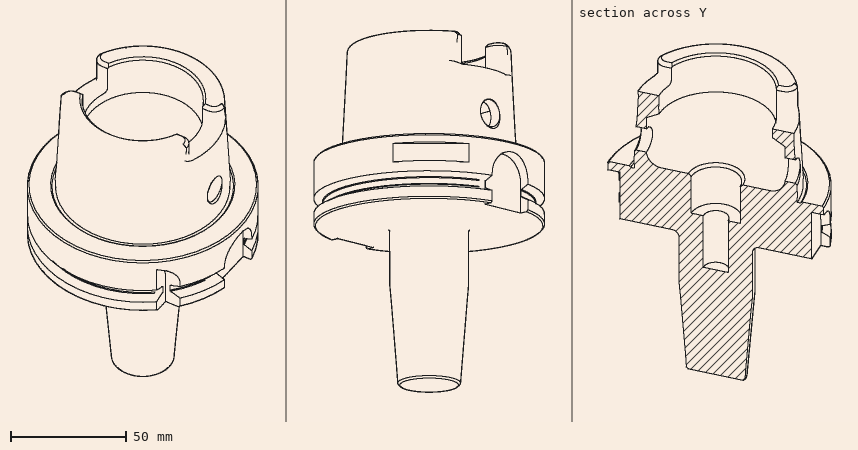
import cadquery as cq
import math

top_z = 50.0
flange_thickness = 29.0
total_length = 150
tip_z = top_z - total_length

taper_base_radius = 38.0
taper_base_z = 2.4
taper_top_radius = 35.5
rim_round = 2.0

relief_radius = 37.8
relief_start_z = 1.0
relief_outer_radius = 39.3
relief_depth = 0.8
relief_lead_in = 0.6

flange_diameter = 100.0
flange_radius = flange_diameter / 2
flange_top_chamfer = 0.8
flange_bottom_chamfer = 0.8
groove_radius = 46.0
groove_top_z = -16.8
groove_bottom_z = -23.5
groove_floor_inset = 1.8
groove_fillet = 0.5

shank_radius = 17.1
shank_root_fillet = 3.0
cone_start_z = -55.5
tip_radius = 13.6
tip_chamfer = 0.9

bore_radius = 26.2
bore_rim_chamfer = 1.0
shoulder_z = 30.2
shoulder_angle = 30
chamber_radius = 32.0
floor_fillet = 6.9
floor_z = 2.4
socket_radius = 11.2
socket_chamfer = 1.4
socket_bottom_z = -18
pilot_radius = 5.7
pilot_bottom_z = -45

slot_width = 20.0
slot_half_width = slot_width / 2
slot_corner_radius = 5.0
slot_corner_x = 27.2
slot_corner_sweep = 117
slot_floor_fillet = 2.0
slot_top_chamfer = 1.6
slot_chamfer_angle = 45
slot_chamfer_half_span = 15.6
deep_slot_depth = 15.0
shallow_slot_depth = 10.0
slot_flank_length = 12

cross_hole_radius = 6.0
cross_hole_z = 15.0
countersink_start_x = 36.8

keyway_radius = 11.1
keyway_top_z = -4.6
keyway_floor_x = 44.4
notch_radius = 10.2
notch_floor_x = 31.5
notch_wall_y = -31.5

flat_distance = 47.2
flat_length = 36
flat_height = 8.2
flat_center_z = -8.1
flat_angle = 135

clearance = 15


def make_body():
    """Taper, flange and shank turned as one solid."""
    round_offset = rim_round * math.sqrt(0.5)
    fillet_offset = shank_root_fillet * (1 - math.sqrt(0.5))
    flange_bottom_z = -flange_thickness
    profile = (
        cq.Workplane("YZ")
        .moveTo(0, top_z)
        .lineTo(taper_top_radius - rim_round, top_z)
        .threePointArc(
            (taper_top_radius - rim_round + round_offset, top_z - rim_round + round_offset),
            (taper_top_radius, top_z - rim_round),
        )
        .lineTo(taper_base_radius, taper_base_z)
        .lineTo(relief_radius, relief_start_z)
        .lineTo(relief_radius, -relief_depth)
        .lineTo(relief_outer_radius, -relief_depth)
        .lineTo(relief_outer_radius + relief_lead_in, 0)
        .lineTo(flange_radius - flange_top_chamfer, 0)
        .lineTo(flange_radius, -flange_top_chamfer)
        .lineTo(flange_radius, groove_top_z)
        .lineTo(groove_radius, groove_top_z - groove_floor_inset)
        .lineTo(groove_radius, groove_bottom_z + groove_floor_inset)
        .lineTo(flange_radius, groove_bottom_z)
        .lineTo(flange_radius, flange_bottom_z + flange_bottom_chamfer)
        .lineTo(flange_radius - flange_bottom_chamfer, flange_bottom_z)
        .lineTo(shank_radius + shank_root_fillet, flange_bottom_z)
        .threePointArc(
            (shank_radius + fillet_offset, flange_bottom_z - fillet_offset),
            (shank_radius, flange_bottom_z - shank_root_fillet),
        )
        .lineTo(shank_radius, cone_start_z)
        .lineTo(tip_radius, tip_z + tip_chamfer)
        .lineTo(tip_radius - tip_chamfer, tip_z)
        .lineTo(0, tip_z)
        .close()
    )
    body = profile.revolve(360, (0, 0, 0), (0, 1, 0))
    groove_corners = body.edges("%CIRCLE").filter(
        lambda edge: math.isclose(edge.radius(), groove_radius)
    )
    return groove_corners.fillet(groove_fillet)


def make_bore():
    """Clamping bore that widens below a sloping shoulder, with a stepped socket in its floor."""
    shoulder_drop = (chamber_radius - bore_radius) * math.tan(math.radians(shoulder_angle))
    fillet_top_z = floor_z + floor_fillet
    fillet_start_radius = chamber_radius - floor_fillet
    fillet_offset = floor_fillet * math.sqrt(0.5)
    profile = (
        cq.Workplane("YZ")
        .moveTo(0, top_z)
        .lineTo(bore_radius + bore_rim_chamfer, top_z)
        .lineTo(bore_radius, top_z - bore_rim_chamfer)
        .lineTo(bore_radius, shoulder_z)
        .lineTo(chamber_radius, shoulder_z - shoulder_drop)
        .lineTo(chamber_radius, fillet_top_z)
        .threePointArc(
            (fillet_start_radius + fillet_offset, fillet_top_z - fillet_offset),
            (fillet_start_radius, floor_z),
        )
        .lineTo(socket_radius + socket_chamfer, floor_z)
        .lineTo(socket_radius, floor_z - socket_chamfer)
        .lineTo(socket_radius, socket_bottom_z)
        .lineTo(pilot_radius, socket_bottom_z)
        .lineTo(pilot_radius, pilot_bottom_z)
        .lineTo(0, pilot_bottom_z)
        .close()
    )
    return profile.revolve(360, (0, 0, 0), (0, 1, 0))


def slot_outline(z, side):
    """Passage that opens outwards behind two rounded corners, on the +X (1) or -X (-1) side."""
    center_y = slot_half_width + slot_corner_radius

    def corner_point(sweep):
        """Point on the rounded corner after turning by `sweep` degrees from the passage wall."""
        turn = math.radians(sweep)
        x = slot_corner_x + slot_corner_radius * math.sin(turn)
        y = center_y - slot_corner_radius * math.cos(turn)
        return x, y

    end_turn = math.radians(slot_corner_sweep)
    middle_x, middle_y = corner_point(slot_corner_sweep / 2)
    end_x, end_y = corner_point(slot_corner_sweep)
    flank_x = end_x + slot_flank_length * math.cos(end_turn)
    flank_y = end_y + slot_flank_length * math.sin(end_turn)
    inner_x = bore_radius - slot_corner_radius
    outer_x = taper_base_radius + clearance
    return (
        cq.Workplane("XY", origin=(0, 0, z))
        .moveTo(side * inner_x, -slot_half_width)
        .lineTo(side * slot_corner_x, -slot_half_width)
        .threePointArc((side * middle_x, -middle_y), (side * end_x, -end_y))
        .lineTo(side * flank_x, -flank_y)
        .lineTo(side * outer_x, -flank_y)
        .lineTo(side * outer_x, flank_y)
        .lineTo(side * flank_x, flank_y)
        .lineTo(side * end_x, end_y)
        .threePointArc((side * middle_x, middle_y), (side * slot_corner_x, slot_half_width))
        .lineTo(side * inner_x, slot_half_width)
        .close()
    )


def cut_drive_slot(body, side, depth):
    """Cut a rim slot with a filleted floor, then chamfer its upper edges."""
    slot = slot_outline(top_z - depth, side).extrude(depth).faces("<Z").edges().fillet(slot_floor_fillet)
    flare = slot_outline(top_z - slot_top_chamfer, side).extrude(slot_top_chamfer, taper=-slot_chamfer_angle)
    flare_limit = cq.Workplane("XY").box(2 * flange_radius, 2 * slot_chamfer_half_span, 2 * top_z)
    return body.cut(slot).cut(flare.intersect(flare_limit))


def make_keyway(radius, floor_x, center_y, side):
    """Round-topped keyway running down through the flange's lower face."""
    length = side * (flange_radius + clearance - floor_x)
    center_z = keyway_top_z - radius
    height = center_z + flange_thickness
    plane = cq.Workplane("YZ", origin=(side * floor_x, center_y, center_z))
    round_top = plane.circle(radius).extrude(length)
    straight = plane.center(0, -height / 2).rect(2 * radius, height).extrude(length)
    return round_top.union(straight)


def make_flat():
    """Tool for the rectangular flat cut into the flange's edge."""
    block = cq.Workplane("XY").box(clearance, flat_length, flat_height)
    block = block.translate((flat_distance + clearance / 2, 0, flat_center_z))
    return block.rotate((0, 0, 0), (0, 0, 1), flat_angle)


def make_cross_hole():
    """Hole along X with a 45 degree countersink at each mouth."""
    mouth_x = taper_base_radius
    mouth_radius = cross_hole_radius + mouth_x - countersink_start_x
    profile = (
        cq.Workplane("XZ", origin=(0, 0, cross_hole_z))
        .moveTo(-mouth_x, 0)
        .lineTo(-mouth_x, mouth_radius)
        .lineTo(-countersink_start_x, cross_hole_radius)
        .lineTo(countersink_start_x, cross_hole_radius)
        .lineTo(mouth_x, mouth_radius)
        .lineTo(mouth_x, 0)
        .close()
    )
    return profile.revolve(360, (0, 0, 0), (1, 0, 0))


result = make_body().cut(make_bore()).cut(make_cross_hole())
result = cut_drive_slot(result, -1, deep_slot_depth)
result = cut_drive_slot(result, 1, shallow_slot_depth)
for side in (-1, 1):
    result = result.cut(make_keyway(keyway_radius, keyway_floor_x, 0, side))
result = result.cut(make_keyway(notch_radius, notch_floor_x, notch_wall_y - notch_radius, 1))
result = result.cut(make_flat())